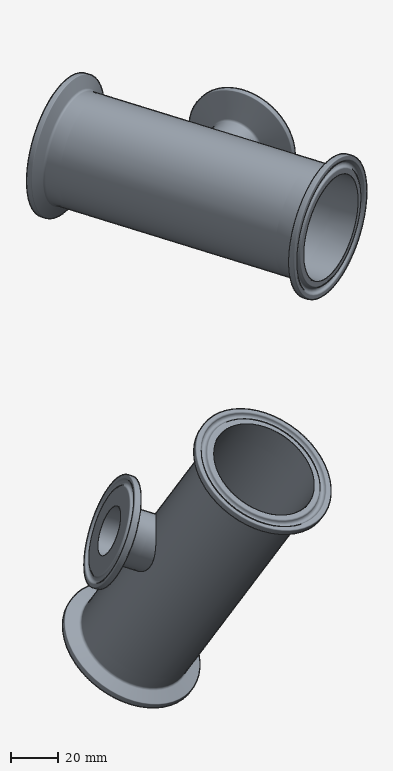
import cadquery as cq
import math

run_length = 130.18
run_od = 50.8
run_bore = 47.5
run_flange_od = 63.91

branch_reach = 41.275
branch_od = 25.4
branch_bore = 22.1
branch_flange_od = 50.39

ferrule_length = 12.7
rim_width = 2.85
cone_angle = math.radians(20)
face_edge_radius = 0.5
back_edge_radius = 0.4
neck_fillet_radius = 1.2

run_groove_diameter = 56.1
branch_groove_diameter = 43.5
groove_radius = 1.4
groove_lip_radius = 0.75


def revolve_about_axis(outline):
    """Revolve an (axial, radial) outline about the local X axis."""
    return outline.close().revolve(360, (0, 0, 0), (1, 0, 0))


def arc_point(center, radius, angle):
    """Point on a circle at an angle from the axial direction."""
    return (center[0] + radius * math.cos(angle), center[1] + radius * math.sin(angle))


def tapered_end(tube_od, flange_od):
    """Solid ferrule along +X with its sealing face at the origin."""
    tube_radius = tube_od / 2
    flange_radius = flange_od / 2
    cone_end = rim_width + (flange_radius - tube_radius) * math.tan(cone_angle)

    tangent_factor = math.tan((math.pi / 2 - cone_angle) / 2)
    neck_tangent = neck_fillet_radius * tangent_factor
    neck_center = (cone_end + neck_tangent, tube_radius + neck_fillet_radius)
    back_tangent = back_edge_radius * tangent_factor
    back_center = (rim_width - back_tangent, flange_radius - back_edge_radius)
    face_center = (face_edge_radius, flange_radius - face_edge_radius)

    mid_angle = (math.pi / 2 + cone_angle) / 2
    outline = (
        cq.Workplane("XY")
        .lineTo(0, face_center[1])
        .threePointArc(
            arc_point(face_center, face_edge_radius, 3 * math.pi / 4),
            (face_edge_radius, flange_radius),
        )
        .lineTo(back_center[0], flange_radius)
        .threePointArc(
            arc_point(back_center, back_edge_radius, mid_angle),
            arc_point(back_center, back_edge_radius, cone_angle),
        )
        .lineTo(*arc_point(neck_center, neck_fillet_radius, math.pi + cone_angle))
        .threePointArc(
            arc_point(neck_center, neck_fillet_radius, math.pi + mid_angle),
            (neck_center[0], tube_radius),
        )
        .lineTo(ferrule_length, tube_radius)
        .lineTo(ferrule_length, 0)
    )
    return revolve_about_axis(outline)


def gasket_groove(diameter):
    """Ring cutter for the gasket groove in a sealing face at the origin."""
    middle = diameter / 2
    lip_offset = math.sqrt((groove_radius + groove_lip_radius) ** 2 - groove_lip_radius ** 2)
    blend = groove_radius / (groove_radius + groove_lip_radius)
    blend_depth = groove_lip_radius * blend
    blend_offset = lip_offset * blend
    lip_angle = math.atan2(lip_offset, groove_lip_radius) / 2
    lip_depth = groove_lip_radius * (1 - math.cos(lip_angle))
    lip_middle = lip_offset - groove_lip_radius * math.sin(lip_angle)
    outline = (
        cq.Workplane("XY")
        .moveTo(0, middle - lip_offset)
        .threePointArc((lip_depth, middle - lip_middle), (blend_depth, middle - blend_offset))
        .threePointArc((groove_radius, middle), (blend_depth, middle + blend_offset))
        .threePointArc((lip_depth, middle + lip_middle), (0, middle + lip_offset))
    )
    return revolve_about_axis(outline)


def ferrule(tube_od, tube_bore, flange_od, groove_diameter):
    """Bored and grooved ferrule along +X with its sealing face at the origin."""
    bore = cq.Workplane("YZ").circle(tube_bore / 2).extrude(ferrule_length)
    return tapered_end(tube_od, flange_od).cut(gasket_groove(groove_diameter)).cut(bore)


def tee_tube():
    """Plain run and branch tubes between the ferrules, with crossing bores."""
    tube_length = run_length - 2 * ferrule_length
    branch_length = branch_reach - ferrule_length

    def run_cylinder(diameter):
        start = cq.Workplane("YZ", origin=(-tube_length / 2, 0, 0))
        return start.circle(diameter / 2).extrude(tube_length)

    def branch_cylinder(diameter):
        return cq.Workplane("XZ").circle(diameter / 2).extrude(-branch_length)

    outside = run_cylinder(run_od).union(branch_cylinder(branch_od))
    return outside.cut(run_cylinder(run_bore)).cut(branch_cylinder(branch_bore))


def make_tee():
    """Weld a ferrule to each open end of the tee."""
    run_ferrule = ferrule(run_od, run_bore, run_flange_od, run_groove_diameter)
    left_ferrule = run_ferrule.translate((-run_length / 2, 0, 0))
    right_ferrule = left_ferrule.mirror("YZ")
    branch_ferrule = (
        ferrule(branch_od, branch_bore, branch_flange_od, branch_groove_diameter)
        .rotate((0, 0, 0), (0, 0, 1), -90)
        .translate((0, branch_reach, 0))
    )

    tee = tee_tube()
    for end_ferrule in (left_ferrule, right_ferrule, branch_ferrule):
        tee = tee.union(end_ferrule, clean=False)
    return tee


result = make_tee()